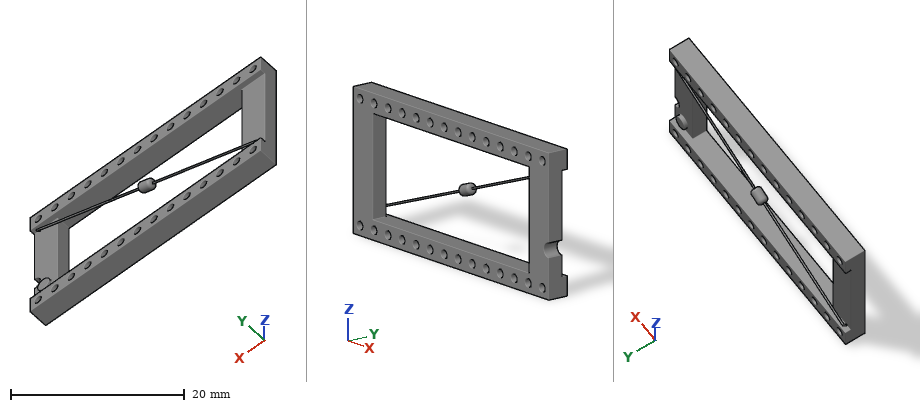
import cadquery as cq
import math

frame_length = 35.5
frame_height = 17.7
rail_depth = 2.78
end_bar_depth = 2.0
edge_radius = 0.075
window_length = 28.2
window_height = 12.75

pins_per_row = 14
pin_pitch = 2.54
row_spacing = 6 * pin_pitch
pin_hole_diameter = 1.0
outer_pin_x = (pins_per_row - 1) * pin_pitch / 2
row_z = row_spacing / 2

notch_diameter = 1.76
notch_z = -2.87
boss_diameter = 1.8
boss_height = 0.5
boss_x = (frame_length + window_length) / 4
boss_z = -4.89

overall_depth = 3.19
component_diameter = 1.4
component_length = 2.0
component_end_radius = 0.38
component_y = overall_depth - component_diameter / 2
lead_diameter = 0.25
lead_bend_x = 16.85
lead_bend_z = 6.0
lead_anchor_depth = 0.1
lead_anchor_y = end_bar_depth
lead_anchor_z = window_height / 2 + lead_anchor_depth


def block(length, depth, height, start_y=0):
    """Box centred on X and Z that runs from start_y toward +Y."""
    base = cq.Workplane("XY", origin=(0, start_y, 0))
    return base.box(length, depth, height, centered=(True, False, True))


def rod(start, end, diameter):
    """Round bar between two points."""
    axis = end - start
    return cq.Workplane(cq.Solid.makeCylinder(diameter / 2, axis.Length, start, axis))


def round_along_y(x, z, diameter, start_y, length):
    """Cylinder parallel to Y."""
    start = cq.Vector(x, start_y, z)
    return rod(start, start + cq.Vector(0, length, 0), diameter)


def make_frame():
    """Rectangular frame whose end bars are thinner than its rails."""
    frame = block(frame_length, rail_depth, frame_height)
    frame = frame.cut(block(window_length, rail_depth, window_height))
    end_bar_relief = rail_depth - end_bar_depth
    return frame.cut(block(frame_length, end_bar_relief, window_height, end_bar_depth))


def cut_pin_holes(frame):
    """Through holes along both rails."""
    centres = []
    for index in range(pins_per_row):
        x = index * pin_pitch - outer_pin_x
        centres += [(x, row_z), (x, -row_z)]
    for x, z in centres:
        frame = frame.cut(round_along_y(x, z, pin_hole_diameter, 0, rail_depth))
    return frame


def cut_notch(frame):
    """Half-round orientation notch."""
    return frame.cut(round_along_y(frame_length / 2, notch_z, notch_diameter, 0, rail_depth))


def add_boss(frame):
    """Low round boss on the recessed face of the notched end bar."""
    return frame.union(round_along_y(boss_x, boss_z, boss_diameter, end_bar_depth, boss_height))


def make_component():
    """Rounded body on a straight lead, with both lead ends bent into the rails."""
    lead_angle = math.atan2(lead_bend_z, lead_bend_x)
    half_body = cq.Vector(math.cos(lead_angle), 0, math.sin(lead_angle)) * (component_length / 2)
    centre = cq.Vector(0, component_y, 0)
    component = rod(centre - half_body, centre + half_body, component_diameter)
    component = component.edges("%CIRCLE").fillet(component_end_radius)

    bends = [cq.Vector(side * lead_bend_x, component_y, side * lead_bend_z) for side in (-1, 1)]
    component = component.union(rod(bends[0], bends[1], lead_diameter))
    for side, bend in zip((-1, 1), bends):
        anchor = cq.Vector(side * lead_bend_x, lead_anchor_y, side * lead_anchor_z)
        elbow = cq.Workplane("XY").sphere(lead_diameter / 2).translate(bend.toTuple())
        component = component.union(elbow).union(rod(bend, anchor, lead_diameter))
    return component


frame = add_boss(cut_notch(cut_pin_holes(make_frame())))
rounded_frame = frame.edges().fillet(edge_radius)
result = rounded_frame.union(make_component())